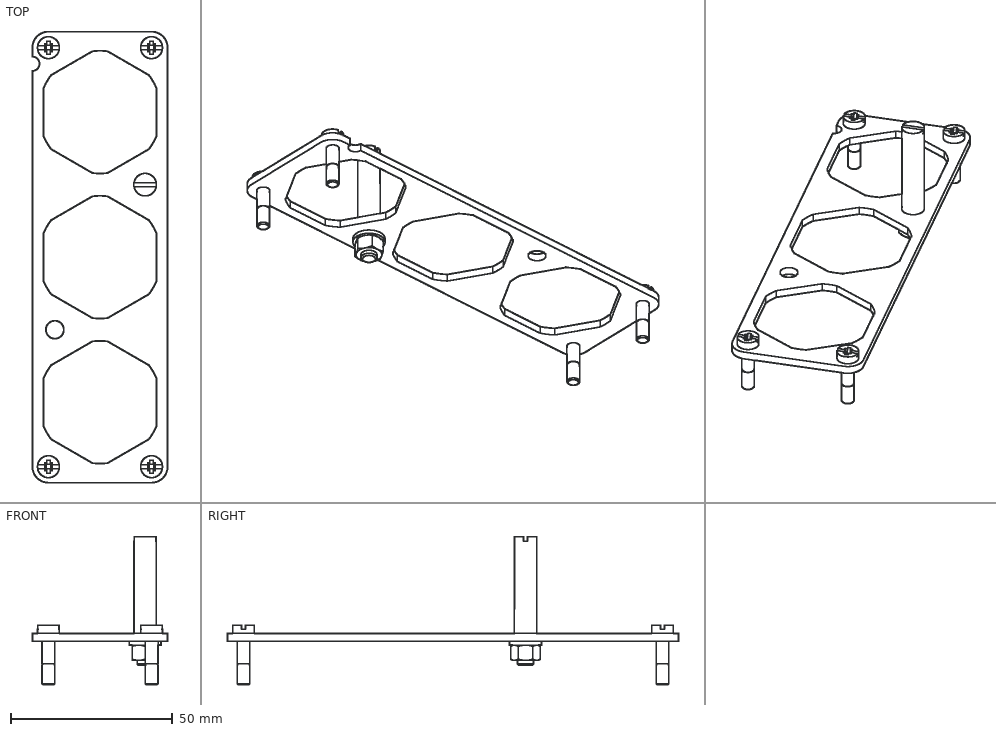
import cadquery as cq
import math

PLATE_WIDTH = 42.0
PLATE_LENGTH = 140.0
PLATE_THICKNESS = 2.5
CORNER_RADIUS = 5.0

WINDOW_COUNT = 3
WINDOW_PITCH = 45.0
WINDOW_ACROSS_FLATS = 35.0
WINDOW_ROUNDING_DIAMETER = 38.0

PILLAR_X = 14.0
PILLAR_Y = WINDOW_PITCH / 2
HOLE_DIAMETER = 5.5
NOTCH_DIAMETER = 4.4
NOTCH_FROM_END = 10.0

SCREW_EDGE_DISTANCE = CORNER_RADIUS
SCREW_LENGTH = 16.0
SCREW_DIAMETER = 4.0
SCREW_TIP_CHAMFER = 0.4
GROOVE_BELOW_HEAD = 9.4
GROOVE_WIDTH = 0.7
GROOVE_DIAMETER = 3.7
HEAD_DIAMETER = 6.8
HEAD_HEIGHT = 2.5
HEAD_SLOT_WIDTH = 1.2
HEAD_SLOT_DEPTH = 1.2

RECESS_DEPTH = 1.8
RECESS_ARM_WIDTH = 1.0
RECESS_SPAN_TOP = 4.0
RECESS_SPAN_BOTTOM = 1.4
RECESS_CENTRE_SIZE = 2.4

PILLAR_DIAMETER = 7.0
PILLAR_HEIGHT = 30.0
PILLAR_SLOT_WIDTH = 1.2
PILLAR_SLOT_DEPTH = 1.4
STUD_DIAMETER = 5.0
STUD_LENGTH = 10.0
STUD_TIP_CHAMFER = 0.5
WASHER_DIAMETER = 10.0
WASHER_THICKNESS = 1.2
NUT_ACROSS_FLATS = 8.0
NUT_HEIGHT = 4.7
NUT_CHAMFER_HEIGHT = 0.35

COS_30 = math.cos(math.radians(30))


def cylinder(diameter, z_bottom, height):
    return cq.Workplane("XY").workplane(offset=z_bottom).circle(diameter / 2).extrude(height)


def hexagon(across_flats, z_bottom, height):
    """Hexagonal prism with two vertices on the Y axis."""
    prism = cq.Workplane("XY").polygon(6, across_flats / COS_30).extrude(height)
    return prism.rotate((0, 0, 0), (0, 0, 1), 90).translate((0, 0, z_bottom))


def slot_cutter(length, width, depth, z_top):
    """Straight screwdriver slot along X."""
    return cq.Workplane("XY").workplane(offset=z_top - depth).rect(length, width).extrude(depth)


def make_plate():
    plate = (
        cq.Workplane("XY")
        .workplane(offset=-PLATE_THICKNESS)
        .rect(PLATE_WIDTH, PLATE_LENGTH)
        .extrude(PLATE_THICKNESS)
        .edges("|Z")
        .fillet(CORNER_RADIUS)
    )
    window = hexagon(WINDOW_ACROSS_FLATS, -PLATE_THICKNESS, PLATE_THICKNESS).intersect(
        cylinder(WINDOW_ROUNDING_DIAMETER, -PLATE_THICKNESS, PLATE_THICKNESS)
    )
    for index in range(WINDOW_COUNT):
        y = (index - (WINDOW_COUNT - 1) / 2) * WINDOW_PITCH
        plate = plate.cut(window.translate((0, y, 0)))

    hole = cylinder(HOLE_DIAMETER, -PLATE_THICKNESS, PLATE_THICKNESS)
    plate = plate.cut(hole.translate((-PILLAR_X, -PILLAR_Y, 0)))

    notch = cylinder(NOTCH_DIAMETER, -PLATE_THICKNESS, PLATE_THICKNESS)
    notch_y = PLATE_LENGTH / 2 - NOTCH_FROM_END
    return plate.cut(notch.translate((-PLATE_WIDTH / 2, notch_y, 0)))


def recess_arm(plane):
    """Tapered wedge, one bar of the cross recess, lying in the given vertical plane."""
    return (
        cq.Workplane(plane)
        .polyline(
            [
                (-RECESS_SPAN_TOP / 2, HEAD_HEIGHT),
                (RECESS_SPAN_TOP / 2, HEAD_HEIGHT),
                (RECESS_SPAN_BOTTOM / 2, HEAD_HEIGHT - RECESS_DEPTH),
                (-RECESS_SPAN_BOTTOM / 2, HEAD_HEIGHT - RECESS_DEPTH),
            ]
        )
        .close()
        .extrude(RECESS_ARM_WIDTH / 2, both=True)
    )


def recess_centre():
    """Square pyramid frustum where the bars of the cross recess meet."""
    return (
        cq.Workplane("XY")
        .workplane(offset=HEAD_HEIGHT)
        .rect(RECESS_CENTRE_SIZE, RECESS_CENTRE_SIZE)
        .workplane(offset=-RECESS_DEPTH)
        .rect(RECESS_SPAN_BOTTOM, RECESS_SPAN_BOTTOM)
        .loft()
    )


def make_screw():
    """Slotted cross-recess screw with the underside of its head at z = 0."""
    shank_radius = SCREW_DIAMETER / 2
    groove_top = -GROOVE_BELOW_HEAD
    profile = [
        (0, HEAD_HEIGHT),
        (HEAD_DIAMETER / 2, HEAD_HEIGHT),
        (HEAD_DIAMETER / 2, 0),
        (shank_radius, 0),
        (shank_radius, groove_top),
        (GROOVE_DIAMETER / 2, groove_top),
        (shank_radius, groove_top - GROOVE_WIDTH),
        (shank_radius, SCREW_TIP_CHAMFER - SCREW_LENGTH),
        (shank_radius - SCREW_TIP_CHAMFER, -SCREW_LENGTH),
        (0, -SCREW_LENGTH),
    ]
    screw = cq.Workplane("XZ").polyline(profile).close().revolve(360, (0, 0, 0), (0, 1, 0))
    screw = screw.cut(slot_cutter(HEAD_DIAMETER, HEAD_SLOT_WIDTH, HEAD_SLOT_DEPTH, HEAD_HEIGHT))
    return screw.cut(recess_arm("XZ")).cut(recess_arm("YZ")).cut(recess_centre())


def make_nut():
    """Hexagon nut against the washer, its corners turned down at both ends."""
    z_top = -PLATE_THICKNESS - WASHER_THICKNESS
    z_bottom = z_top - NUT_HEIGHT
    corner_diameter = NUT_ACROSS_FLATS / COS_30
    chamfer_width = (corner_diameter - NUT_ACROSS_FLATS) / 2
    turned_blank = (
        cylinder(corner_diameter, z_bottom, NUT_HEIGHT)
        .edges("%CIRCLE")
        .chamfer(NUT_CHAMFER_HEIGHT, chamfer_width)
    )
    return hexagon(NUT_ACROSS_FLATS, z_bottom, NUT_HEIGHT).intersect(turned_blank)


def make_pillar():
    """Slotted pillar standing on the plate, clamped by a washer and nut."""
    pillar = cylinder(PILLAR_DIAMETER, 0, PILLAR_HEIGHT).cut(
        slot_cutter(PILLAR_DIAMETER, PILLAR_SLOT_WIDTH, PILLAR_SLOT_DEPTH, PILLAR_HEIGHT)
    )
    stud = cylinder(STUD_DIAMETER, -STUD_LENGTH, STUD_LENGTH).faces("<Z").chamfer(STUD_TIP_CHAMFER)
    washer = cylinder(WASHER_DIAMETER, -PLATE_THICKNESS - WASHER_THICKNESS, WASHER_THICKNESS)
    return pillar.union(stud).union(washer).union(make_nut())


result = make_plate().union(make_pillar().translate((PILLAR_X, PILLAR_Y, 0)))

screw_x = PLATE_WIDTH / 2 - SCREW_EDGE_DISTANCE
screw_y = PLATE_LENGTH / 2 - SCREW_EDGE_DISTANCE
corner_screw = make_screw()
for x in (-screw_x, screw_x):
    for y in (-screw_y, screw_y):
        result = result.union(corner_screw.translate((x, y, 0)))